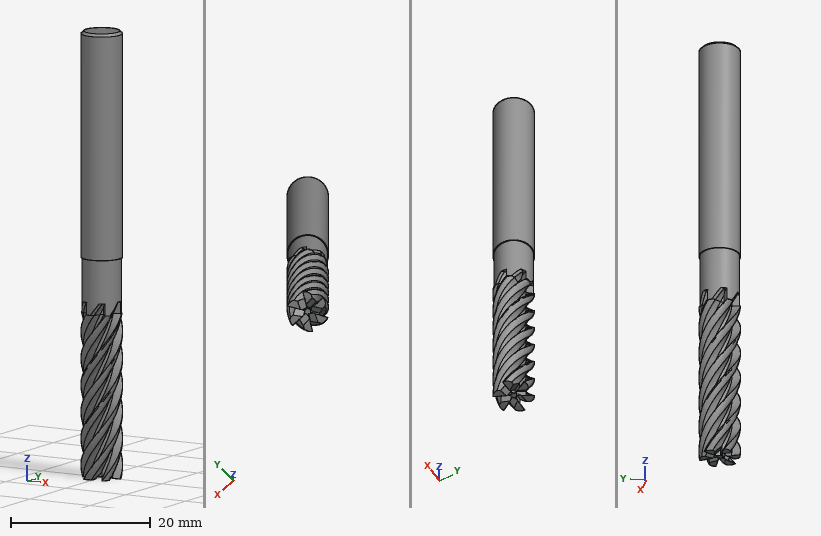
import cadquery as cq
import math

TOTAL_LENGTH = 65.0
TOOL_DIAMETER = 6.0
CUTTING_LENGTH = 24.0
SHANK_START = 32.05
NECK_DIAMETER = 5.7
SHANK_CHAMFER = 0.4

FLUTE_COUNT = 6
HELIX_LEAD = 23.35
CUTTING_EDGE_AT_NECK = 11.0
RUNOUT_LENGTH = 1.75

MARGIN_ANGLE = 5.0
RELIEF_ANGLE = 15.0
RELIEF_RADIUS = 2.85
HEEL_ANGLE = 25.0
HEEL_RADIUS = 2.6
BACK_ANGLE = 32.0
BACK_RADIUS = 2.1
ROOT_START_ANGLE = 42.0
ROOT_END_ANGLE = 59.0
CORE_RADIUS = 1.75

DISH_DEPTH = 0.2
DISH_RADIUS = 2.0
GASH_DEPTH = 1.05
GASH_WIDTH = 1.05
GASH_INNER_RADIUS = 0.4

TOOL_RADIUS = TOOL_DIAMETER / 2
NECK_RADIUS = NECK_DIAMETER / 2
PITCH_ANGLE = 360 / FLUTE_COUNT
HELIX_RATE = 360 / HELIX_LEAD
CUTTING_EDGE_AT_TIP = CUTTING_EDGE_AT_NECK - HELIX_RATE * CUTTING_LENGTH
OVERCUT = 0.65


def polar(radius, degrees):
    angle = math.radians(degrees)
    return (radius * math.cos(angle), radius * math.sin(angle))


def add_flute_wall(outline, edge):
    """Continue an outline from the margin of a tooth to the cutting edge of the next one."""
    outline = outline.threePointArc(
        polar(RELIEF_RADIUS, edge + RELIEF_ANGLE), polar(HEEL_RADIUS, edge + HEEL_ANGLE)
    )
    outline = outline.threePointArc(
        polar(BACK_RADIUS, edge + BACK_ANGLE), polar(CORE_RADIUS, edge + ROOT_START_ANGLE)
    )
    root_angle = (ROOT_START_ANGLE + ROOT_END_ANGLE) / 2
    outline = outline.threePointArc(
        polar(CORE_RADIUS, edge + root_angle), polar(CORE_RADIUS, edge + ROOT_END_ANGLE)
    )
    return outline.lineTo(*polar(TOOL_RADIUS, edge + PITCH_ANGLE))


def fluted_section(first_edge):
    """Cross-section of the cutting part, one tooth and one flute per pitch."""
    outline = cq.Workplane("XY").moveTo(*polar(TOOL_RADIUS, first_edge))
    for tooth in range(FLUTE_COUNT):
        edge = first_edge + tooth * PITCH_ANGLE
        outline = outline.threePointArc(
            polar(TOOL_RADIUS, edge + MARGIN_ANGLE / 2), polar(TOOL_RADIUS, edge + MARGIN_ANGLE)
        )
        outline = add_flute_wall(outline, edge)
    return outline.close()


def flute_section(edge):
    """Cross-section of one flute at the neck, closed outside the tool."""
    outer_radius = TOOL_RADIUS + OVERCUT
    outline = cq.Workplane("XY").workplane(offset=CUTTING_LENGTH)
    outline = outline.moveTo(*polar(TOOL_RADIUS, edge + MARGIN_ANGLE))
    outline = add_flute_wall(outline, edge)
    outline = outline.lineTo(*polar(outer_radius, edge + PITCH_ANGLE))
    return outline.lineTo(*polar(outer_radius, edge + MARGIN_ANGLE)).close()


def flute_runout(edge):
    """Flute end whose back follows the helix and whose rake side runs straight up."""
    helical = flute_section(edge).twistExtrude(RUNOUT_LENGTH, HELIX_RATE * RUNOUT_LENGTH)
    straight = flute_section(edge).extrude(RUNOUT_LENGTH)
    return helical.intersect(straight)


def tip_gash(edge):
    """Notch into the tip ahead of a cutting edge, with an upright wall and a sloping floor."""
    notch = (
        cq.Workplane("XZ", origin=(0, GASH_INNER_RADIUS, 0))
        .moveTo(0, -OVERCUT)
        .lineTo(0, GASH_DEPTH)
        .lineTo(GASH_WIDTH, 0)
        .lineTo(GASH_WIDTH, -OVERCUT)
        .close()
        .extrude(-TOOL_RADIUS)
    )
    return notch.rotate((0, 0, 0), (0, 0, 1), edge - 90)


def around_axis(shape):
    """Copies of a shape, one per flute."""
    angles = [flute * PITCH_ANGLE for flute in range(FLUTE_COUNT)]
    return [shape.rotate((0, 0, 0), (0, 0, 1), angle).val() for angle in angles]


def make_cutting_part():
    section = fluted_section(CUTTING_EDGE_AT_TIP)
    body = section.twistExtrude(CUTTING_LENGTH, HELIX_RATE * CUTTING_LENGTH).val()
    dish = cq.Solid.makeCone(DISH_RADIUS, 0, DISH_DEPTH)
    gashes = around_axis(tip_gash(CUTTING_EDGE_AT_TIP))
    return cq.Workplane(body.cut(dish, *gashes)).solids()


def make_shank():
    neck = cq.Workplane("XY").workplane(offset=CUTTING_LENGTH).circle(NECK_RADIUS)
    neck = neck.extrude(SHANK_START - CUTTING_LENGTH)
    runouts = around_axis(flute_runout(CUTTING_EDGE_AT_NECK))
    neck = cq.Workplane(neck.val().cut(*runouts))
    handle = cq.Workplane("XY").workplane(offset=SHANK_START).circle(TOOL_RADIUS)
    handle = handle.extrude(TOTAL_LENGTH - SHANK_START).faces(">Z").chamfer(SHANK_CHAMFER)
    return neck.union(handle)


cutting_part = make_cutting_part()
shank = make_shank()

result = cq.Compound.makeCompound([cutting_part.val(), shank.val()])